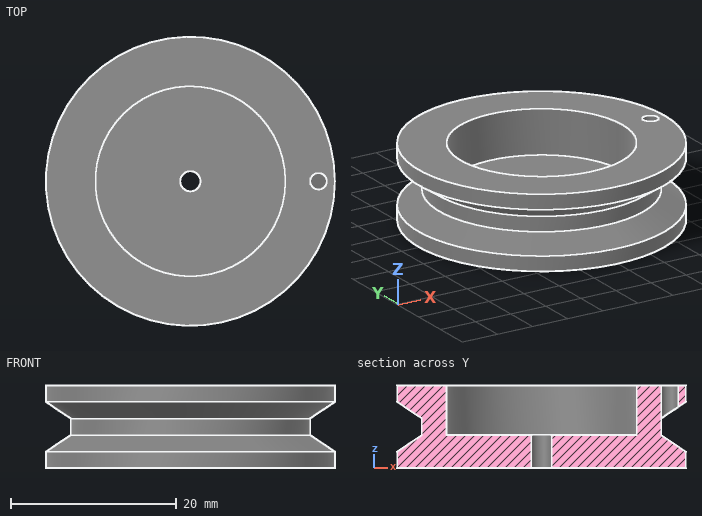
import cadquery as cq

outer_diameter = 35.0
height = 10.0
groove_diameter = 29.0
pocket_diameter = 23.0
pocket_depth = 6.0
axle_hole_diameter = 2.4
cord_hole_diameter = 2.0
cord_hole_offset = 15.5

band = height / 5
outer_radius = outer_diameter / 2
groove_radius = groove_diameter / 2


def pulley_body():
    """Solid wheel with a flat-bottomed V groove around its rim."""
    profile = [
        (0, 0),
        (outer_radius, 0),
        (outer_radius, band),
        (groove_radius, 2 * band),
        (groove_radius, 3 * band),
        (outer_radius, 4 * band),
        (outer_radius, height),
        (0, height),
    ]
    return cq.Workplane("XZ").polyline(profile).close().revolve(360, (0, 0), (0, 1))


def cylinder_from_top(diameter, depth, x=0):
    """Cylinder reaching down from the top face, used as a cutter."""
    return cq.Workplane("XY", origin=(x, 0, height)).circle(diameter / 2).extrude(-depth)


pocket = cylinder_from_top(pocket_diameter, pocket_depth)
axle_hole = cylinder_from_top(axle_hole_diameter, height)

cord_hole = cylinder_from_top(cord_hole_diameter, 2 * band, cord_hole_offset)

result = pulley_body().cut(pocket).cut(axle_hole).cut(cord_hole)